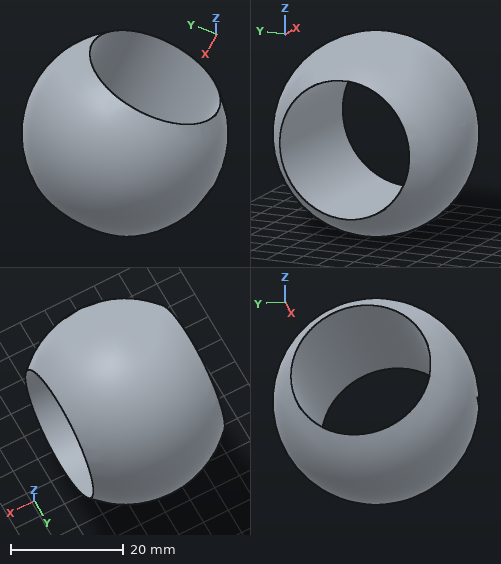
import cadquery as cq

ball_diameter = 36.83
bore_diameter = 25.4

ball = cq.Workplane("XY").sphere(ball_diameter / 2)

bore_start = cq.Workplane("YZ", origin=(-ball_diameter / 2, 0, 0))
bore = bore_start.circle(bore_diameter / 2).extrude(ball_diameter)

result = ball.cut(bore)